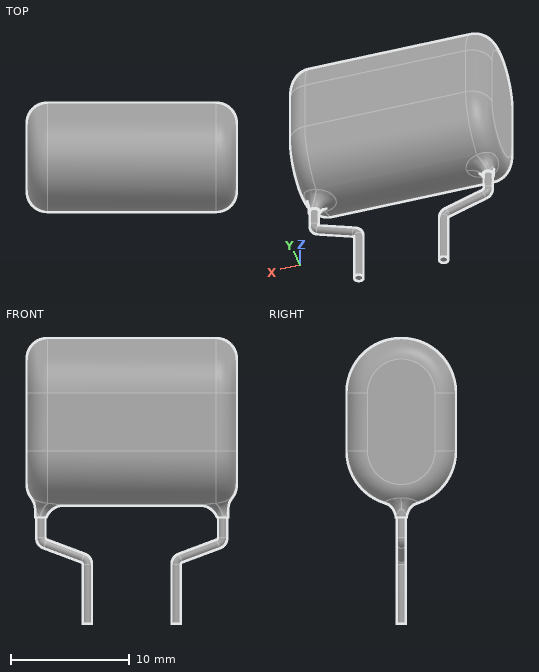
import cadquery as cq
import math

body_length = 17.8
body_depth = 9.3
flat_height = 4.91
body_edge_fillet = 1.8
body_height = body_depth + flat_height
body_top = 24.2
body_bottom = body_top - body_height
body_mid_height = body_top - body_height / 2

lead_diameter = 0.8
lead_radius = lead_diameter / 2
body_pitch = 15.4
tip_pitch = 7.5
upper_bend_start = 7.3
bend_radius = 0.58
slope_angle = 20.5

collar_radius = 0.48
collar_bottom = 9.0
collar_fillet = 1.5

lead_top = body_mid_height


def make_lead(side):
    """One bent wire; side is -1 for the lead at -X and +1 for the one at +X."""
    slope = math.radians(slope_angle)
    turn = math.pi / 2 - slope
    arc_run = bend_radius * (1 - math.cos(turn))
    arc_drop = bend_radius * math.sin(turn)
    mid_run = bend_radius * (1 - math.cos(turn / 2))
    mid_drop = bend_radius * math.sin(turn / 2)

    inward_shift = (body_pitch - tip_pitch) / 2
    slope_drop = (inward_shift - 2 * arc_run) * math.tan(slope)
    lower_bend_end = upper_bend_start - 2 * arc_drop - slope_drop
    outer_x = body_pitch / 2
    inner_x = tip_pitch / 2

    path = (
        cq.Workplane("XZ")
        .moveTo(side * outer_x, lead_top)
        .lineTo(side * outer_x, upper_bend_start)
        .threePointArc(
            (side * (outer_x - mid_run), upper_bend_start - mid_drop),
            (side * (outer_x - arc_run), upper_bend_start - arc_drop),
        )
        .lineTo(side * (inner_x + arc_run), lower_bend_end + arc_drop)
        .threePointArc(
            (side * (inner_x + mid_run), lower_bend_end + mid_drop),
            (side * inner_x, lower_bend_end),
        )
        .lineTo(side * inner_x, 0)
    )
    return (
        cq.Workplane("XY", origin=(side * outer_x, 0, lead_top))
        .circle(lead_radius)
        .sweep(path)
    )


def make_collar(side):
    """Solid cylinder around one lead, reaching up into the body."""
    return (
        cq.Workplane("XY", origin=(side * body_pitch / 2, 0, collar_bottom))
        .circle(collar_radius)
        .extrude(body_mid_height - collar_bottom)
    )


def make_body(leads):
    """Rounded coating with a blended collar and a matching hole for each lead."""
    body = (
        cq.Workplane("YZ", origin=(0, 0, body_mid_height))
        .slot2D(body_height, body_depth, 90)
        .extrude(body_length / 2, both=True)
        .faces("<X or >X")
        .edges()
        .fillet(body_edge_fillet)
    )
    for side in (-1, 1):
        body = body.union(make_collar(side))

    root_reach = 1.5 * collar_radius
    for side in (-1, 1):
        lead_x = side * body_pitch / 2
        roots = cq.selectors.BoxSelector(
            (lead_x - root_reach, -root_reach, collar_bottom + collar_radius),
            (lead_x + root_reach, root_reach, body_mid_height),
            boundingbox=True,
        )
        body = body.edges(roots).fillet(collar_fillet)

    for lead in leads:
        body = body.cut(lead)
    return body


leads = [make_lead(side) for side in (-1, 1)]
body = make_body(leads)

result = cq.Compound.makeCompound([body.val(), *[lead.val() for lead in leads]])